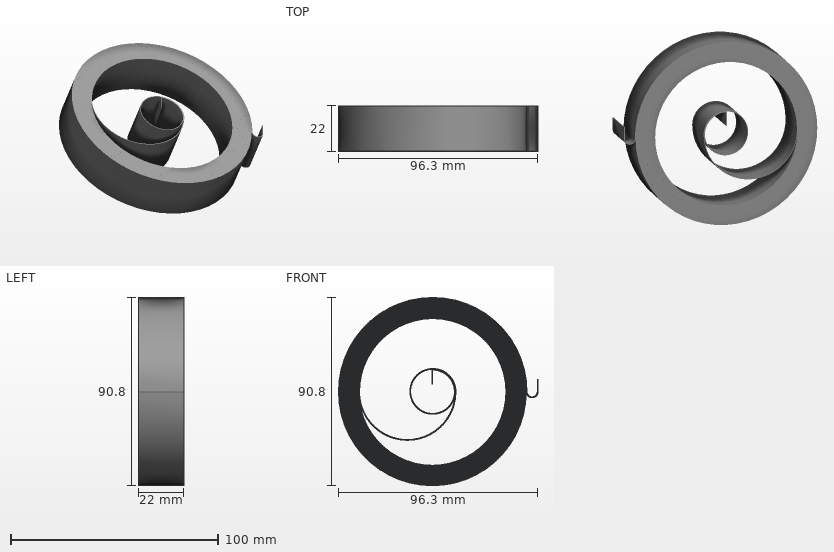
import cadquery as cq
import math

strip_width = 22.0
coil_pitch = 0.35
coil_clearance = 0.0005
strip_thickness = coil_pitch - coil_clearance
half_thickness = strip_thickness / 2

coil_outer_radius = 45.5
coil_turns = 28
coil_end_radius = coil_outer_radius - half_thickness
coil_start_radius = coil_end_radius - coil_turns * coil_pitch

hub_inner_radius = 10.5
hub_start_radius = hub_inner_radius + half_thickness
hub_end_radius = hub_start_radius + coil_pitch
hub_tab_bottom = 3.75

hook_inner_radius = 2.5
hook_radius = hook_inner_radius + half_thickness
hook_arm_length = 6.0
hook_arm_x = coil_end_radius + 2 * hook_radius

RIGHT = 0
TOP = 90
LEFT = 180
BOTTOM = 270


def arc(center, radius, start_angle, turn):
    """Arc of the strip's middle line; a positive turn is anticlockwise."""
    return {"center": center, "radius": radius, "start": start_angle, "turn": turn}


def upper_half(left_x, right_x):
    """Clockwise half circle above the X axis, from left to right."""
    center = ((left_x + right_x) / 2, 0)
    return [arc(center, (right_x - left_x) / 2, LEFT, -180)]


def lower_half(right_x, left_x):
    """Clockwise half circle below the X axis, as two quarters that meet at its lowest point."""
    center = ((left_x + right_x) / 2, 0)
    radius = (right_x - left_x) / 2
    return [arc(center, radius, RIGHT, -90), arc(center, radius, BOTTOM, -90)]


def hub_arcs():
    """Loop of one and a quarter turns from the tab at the top to the right side.

    The left half circle is lifted so that the loop comes back to the top one pitch further out.
    """
    lift = coil_pitch / 2
    return [
        arc((0, 0), hub_start_radius, TOP, -180),
        arc((0, lift), hub_start_radius + lift, BOTTOM, -180),
        arc((0, 0), hub_end_radius, TOP, -90),
    ]


def coil_arcs():
    """All turns of the coil, growing by one pitch per turn and ending on the right side."""
    arcs = []
    radius = coil_start_radius
    for _ in range(coil_turns):
        arcs += upper_half(-radius, radius)
        arcs += lower_half(radius, -radius - coil_pitch)
        radius += coil_pitch
    return arcs + upper_half(-radius, radius)


def hook_arcs():
    """Half circle bent outwards below the end of the coil, as two quarters."""
    center = (coil_end_radius + hook_radius, 0)
    return [arc(center, hook_radius, LEFT, 90), arc(center, hook_radius, BOTTOM, 90)]


def arc_point(piece, side_offset, fraction):
    """Point part of the way along an arc, moved off the middle line to the left of travel."""
    outwards = 1 if piece["turn"] < 0 else -1
    radius = piece["radius"] + outwards * side_offset
    angle = math.radians(piece["start"] + fraction * piece["turn"])
    center_x, center_z = piece["center"]
    return (center_x + radius * math.cos(angle), center_z + radius * math.sin(angle))


def spring_outline():
    """Closed outline: tab, left side out to the hook arm, then the right side back to the tab."""
    hub_to_coil = lower_half(hub_end_radius, -coil_start_radius)
    arcs = hub_arcs() + hub_to_coil + coil_arcs() + hook_arcs()
    bend = strip_thickness * math.sqrt(0.5)
    outline = cq.Workplane("XZ", origin=(0, strip_width / 2, 0))

    outline = outline.moveTo(0, hub_tab_bottom).lineTo(-strip_thickness, hub_tab_bottom)
    outline = outline.lineTo(-strip_thickness, hub_inner_radius)
    outline = outline.threePointArc((-bend, hub_inner_radius + bend), arc_point(arcs[0], half_thickness, 0))

    for piece in arcs:
        outline = outline.threePointArc(
            arc_point(piece, half_thickness, 0.5), arc_point(piece, half_thickness, 1)
        )
    outline = outline.lineTo(hook_arm_x - half_thickness, hook_arm_length)
    outline = outline.lineTo(hook_arm_x + half_thickness, hook_arm_length)
    outline = outline.lineTo(hook_arm_x + half_thickness, 0)

    for piece in reversed(arcs):
        outline = outline.threePointArc(
            arc_point(piece, -half_thickness, 0.5), arc_point(piece, -half_thickness, 0)
        )
    return outline.close()


result = spring_outline().extrude(strip_width, clean=False)